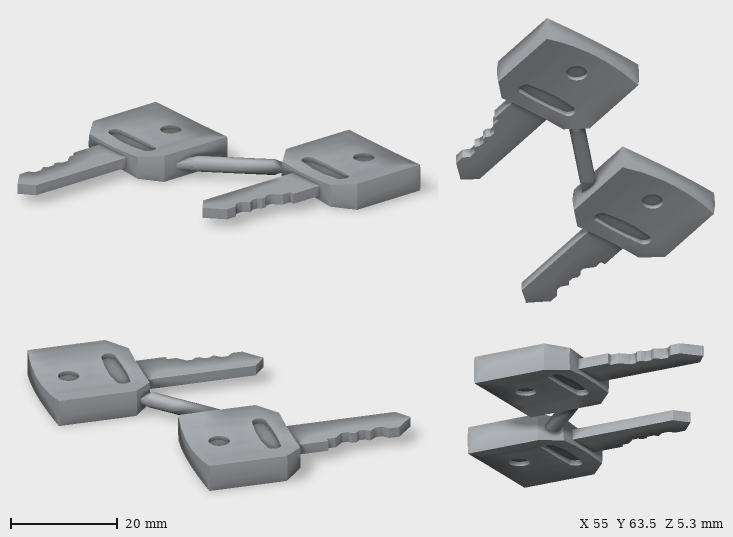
import cadquery as cq
import math


HEAD_WIDTH = 22.0
HEAD_LENGTH = 19.7
HEAD_CROWN = 1.1
RIM_THICKNESS = 5.3
WAIST_THICKNESS = 3.7
SIDE_BULGE = 0.25
CORNER_CUT = 3.5

POCKET_FLOOR_Z = 1.0
ROUND_POCKET_DIAMETER = 4.0
ROUND_POCKET_SETBACK = 6.0
SLOT_SETBACK = 15.2
SLOT_LENGTH = 12.65
SLOT_WIDTH = 3.4
SLOT_SHOULDER_X = 5.4
SLOT_SHOULDER_WIDTH = 2.65

BLADE_THICKNESS = 2.05
BLADE_LENGTH = 23.8
BLADE_BACK_X = 3.95
BACK_END_Y = -21.6
BLADE_FRONT_X = -4.05
SHOULDER_X = -3.1
SHOULDER_Y = -6.35
CREST_X = -2.2
SHALLOW_ROOT_X = -1.6
DEEP_ROOT_X = -1.2
FIRST_NOTCH = (-8.05, -9.7, -10.85, -11.5)
SECOND_NOTCH = (-12.4, -13.0, -14.15, -15.05)
THIRD_NOTCH = (SECOND_NOTCH[3], -16.4, -17.65, -18.75)
TIP_SLOPE_Y = -20.7
TIP_X = 1.2
TIP_HALF_WIDTH = 0.3
TIP_ROUNDING = 0.25

KEY_SPACING_X = 32.95
KEY_SPACING_Y = 20.0

ROD_DIAMETER = 3.0
ROD_AXIS_DROP = 2.5
ROD_START_X = 12.7
ROD_END_X = 22.9
ROD_TIP_THICKNESS = 0.75
START_TAPER_LENGTH = 4.1
END_TAPER_LENGTH = 1.7

SIDE_X = HEAD_WIDTH / 2
RIM_X = SIDE_X - SIDE_BULGE
RIM_Z = RIM_THICKNESS / 2
WAIST_Z = WAIST_THICKNESS / 2
ROD_RADIUS = ROD_DIAMETER / 2


def head_slab():
    """Dished faces and bulged side walls, swept straight along Y."""
    return (
        cq.Workplane("XZ")
        .moveTo(-RIM_X, RIM_Z)
        .threePointArc((0, WAIST_Z), (RIM_X, RIM_Z))
        .threePointArc((SIDE_X, 0), (RIM_X, -RIM_Z))
        .threePointArc((0, -WAIST_Z), (-RIM_X, -RIM_Z))
        .threePointArc((-SIDE_X, 0), (-RIM_X, RIM_Z))
        .close()
        .extrude(-HEAD_LENGTH)
    )


def crowned_outline():
    """Block with the rounded rear end of the head."""
    crown_start_y = HEAD_LENGTH - HEAD_CROWN
    return (
        cq.Workplane("XY")
        .moveTo(-SIDE_X, 0)
        .lineTo(SIDE_X, 0)
        .lineTo(SIDE_X, crown_start_y)
        .threePointArc((0, HEAD_LENGTH), (-SIDE_X, crown_start_y))
        .close()
        .extrude(RIM_Z, both=True)
    )


def corner_cutter():
    """Prism that takes off the corner at +X, leaving a slightly bulged face."""
    middle = (SIDE_X - CORNER_CUT / 2, CORNER_CUT / 2, 0)
    across_corner = cq.Plane(origin=middle, xDir=(1, -1, 0), normal=(1, 1, 0))
    return (
        cq.Workplane(across_corner)
        .moveTo(-SIDE_BULGE, RIM_Z)
        .threePointArc((0, 0), (-SIDE_BULGE, -RIM_Z))
        .lineTo(CORNER_CUT, -RIM_Z)
        .lineTo(CORNER_CUT, RIM_Z)
        .close()
        .extrude(CORNER_CUT, both=True)
    )


def round_pocket():
    return (
        cq.Workplane("XY", origin=(0, HEAD_LENGTH - ROUND_POCKET_SETBACK, POCKET_FLOOR_Z))
        .circle(ROUND_POCKET_DIAMETER / 2)
        .extrude(RIM_Z)
    )


def slot_pocket():
    """Slot with barrel-shaped long sides and rounded ends."""
    end_x = SLOT_LENGTH / 2
    middle_y = SLOT_WIDTH / 2
    shoulder_x = SLOT_SHOULDER_X
    shoulder_y = SLOT_SHOULDER_WIDTH / 2
    return (
        cq.Workplane("XY", origin=(0, HEAD_LENGTH - SLOT_SETBACK, POCKET_FLOOR_Z))
        .moveTo(-shoulder_x, shoulder_y)
        .threePointArc((0, middle_y), (shoulder_x, shoulder_y))
        .threePointArc((end_x, 0), (shoulder_x, -shoulder_y))
        .threePointArc((0, -middle_y), (-shoulder_x, -shoulder_y))
        .threePointArc((-end_x, 0), (-shoulder_x, shoulder_y))
        .close()
        .extrude(RIM_Z)
    )


def make_head():
    head = head_slab().intersect(crowned_outline())
    cutter = corner_cutter()
    head = head.cut(cutter).cut(cutter.mirror("YZ"))
    for pocket in [round_pocket(), slot_pocket()]:
        head = head.cut(pocket).cut(pocket.mirror("XY"))
    return head


def make_blade():
    tip_start_y = TIP_ROUNDING - BLADE_LENGTH
    toothed_edge = [
        (BLADE_FRONT_X, 0),
        (BLADE_FRONT_X, SHOULDER_Y),
        (SHOULDER_X, SHOULDER_Y),
        (SHOULDER_X, FIRST_NOTCH[0]),
        (SHALLOW_ROOT_X, FIRST_NOTCH[1]),
        (SHALLOW_ROOT_X, FIRST_NOTCH[2]),
        (CREST_X, FIRST_NOTCH[3]),
        (CREST_X, SECOND_NOTCH[0]),
        (SHALLOW_ROOT_X, SECOND_NOTCH[1]),
        (SHALLOW_ROOT_X, SECOND_NOTCH[2]),
        (CREST_X, THIRD_NOTCH[0]),
        (DEEP_ROOT_X, THIRD_NOTCH[1]),
        (DEEP_ROOT_X, THIRD_NOTCH[2]),
        (CREST_X, THIRD_NOTCH[3]),
        (CREST_X, TIP_SLOPE_Y),
        (TIP_X - TIP_HALF_WIDTH, tip_start_y),
    ]
    return (
        cq.Workplane("XY")
        .moveTo(BLADE_BACK_X, 0)
        .polyline(toothed_edge, includeCurrent=True)
        .threePointArc((TIP_X, -BLADE_LENGTH), (TIP_X + TIP_HALF_WIDTH, tip_start_y))
        .lineTo(BLADE_BACK_X, BACK_END_Y)
        .close()
        .extrude(BLADE_THICKNESS / 2, both=True)
    )


def rod_plane(x):
    """Plane square to the rod at the given X, with its normal along the rod."""
    return cq.Plane(origin=(x, x - ROD_AXIS_DROP, 0), xDir=(1, -1, 0), normal=(1, 1, 0))


def rod_taper(x, length):
    """Rod end that blends from the round section into a thin rectangle."""
    diagonal = ROD_RADIUS / math.sqrt(2)
    tip_half = ROD_TIP_THICKNESS / 2
    return (
        cq.Workplane(rod_plane(x))
        .moveTo(-diagonal, -diagonal)
        .threePointArc((0, -ROD_RADIUS), (diagonal, -diagonal))
        .threePointArc((ROD_RADIUS, 0), (diagonal, diagonal))
        .threePointArc((0, ROD_RADIUS), (-diagonal, diagonal))
        .threePointArc((-ROD_RADIUS, 0), (-diagonal, -diagonal))
        .close()
        .workplane(offset=length)
        .moveTo(-ROD_RADIUS, -tip_half)
        .lineTo(ROD_RADIUS, -tip_half)
        .lineTo(ROD_RADIUS, tip_half)
        .lineTo(-ROD_RADIUS, tip_half)
        .close()
        .loft(ruled=True)
    )


def make_rod(heads):
    """Round bar with a flattened taper at each end, trimmed where it meets the heads."""
    round_length = (ROD_END_X - ROD_START_X) * math.sqrt(2)
    rod = cq.Workplane(rod_plane(ROD_START_X)).circle(ROD_RADIUS).extrude(round_length)
    rod = rod.union(rod_taper(ROD_START_X, -START_TAPER_LENGTH))
    rod = rod.union(rod_taper(ROD_END_X, END_TAPER_LENGTH))
    for head in heads:
        rod = rod.cut(head)
    return rod


heads = []
blades = []
for shift_x, shift_y, turn in [(0, 0, 0), (KEY_SPACING_X, KEY_SPACING_Y, 180)]:
    for make_body, bodies in [(make_head, heads), (make_blade, blades)]:
        body = make_body().rotate((0, 0, 0), (0, 1, 0), turn)
        bodies.append(body.translate((shift_x, shift_y, 0)))

rod = make_rod(heads)

result = cq.Compound.makeCompound([body.val() for body in [*heads, *blades, rod]])